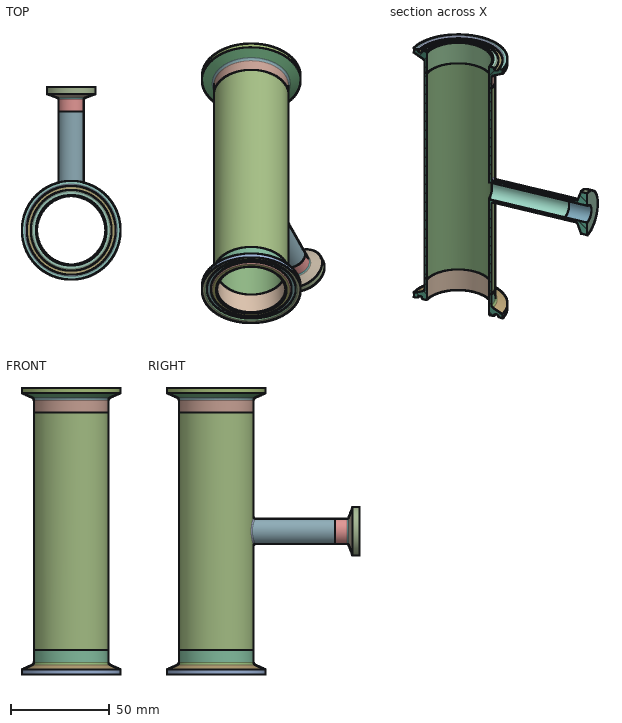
import cadquery as cq

overall_height = 146.0
run_diameter = 38.1
run_bore = 34.7
wall = (run_diameter - run_bore) / 2
branch_diameter = 13.0
branch_bore = branch_diameter - 2 * wall
branch_reach = 73.0
weld_fillet = 0.7
branch_height = overall_height / 2

ferrule_length = 12.5
run_flange_diameter = 50.4
run_rim_thickness = 2.6
run_cone_end = 5.4
run_neck_fillet = 1.5
branch_flange_diameter = 24.8
branch_rim_thickness = 3.6
branch_cone_end = 5.8
branch_neck_fillet = 0.7
lip_chamfer = 0.6

groove_radius = 21.6
groove_width = 2.0
groove_depth = 1.5
groove_edge_round = 0.9


def make_ferrule(neck_diameter, bore, flange_diameter, rim_thickness, cone_end, neck_fillet):
    """Plain clamp ferrule with its sealing face at Z = 0 and its neck toward +Z."""
    neck_radius = neck_diameter / 2
    flange_radius = flange_diameter / 2
    profile = (
        cq.Workplane("XZ")
        .moveTo(bore / 2, 0)
        .lineTo(flange_radius, 0)
        .lineTo(flange_radius, rim_thickness)
        .lineTo(neck_radius, cone_end)
        .lineTo(neck_radius, ferrule_length)
        .lineTo(bore / 2, ferrule_length)
        .close()
    )
    ferrule = profile.revolve(360, (0, 0, 0), (0, 1, 0))
    neck_corner = cq.selectors.BoxSelector(
        (-flange_radius, -flange_radius, rim_thickness + neck_fillet / 2),
        (flange_radius, flange_radius, ferrule_length - neck_fillet / 2),
        boundingbox=True,
    )
    return ferrule.edges("%CIRCLE").edges(neck_corner).fillet(neck_fillet)


def make_gasket_groove():
    """Ring that cuts a round-bottomed groove with rounded edges into the face at Z = 0."""
    inner = groove_radius - groove_width / 2
    outer = groove_radius + groove_width / 2
    arc_offset = groove_edge_round * (1 - 0.5 ** 0.5)
    return (
        cq.Workplane("XZ")
        .moveTo(inner - groove_edge_round, 0)
        .threePointArc((inner - arc_offset, arc_offset), (inner, groove_edge_round))
        .threePointArc((groove_radius, groove_depth), (outer, groove_edge_round))
        .threePointArc((outer + arc_offset, arc_offset), (outer + groove_edge_round, 0))
        .close()
        .revolve(360, (0, 0, 0), (0, 1, 0))
    )


def make_run_ferrule():
    ferrule = make_ferrule(
        run_diameter, run_bore, run_flange_diameter,
        run_rim_thickness, run_cone_end, run_neck_fillet,
    )
    bore_edge = cq.selectors.RadiusNthSelector(0)
    ferrule = ferrule.faces("<Z").edges(bore_edge).chamfer(lip_chamfer)
    return ferrule.cut(make_gasket_groove())


def make_tee_tube():
    run_length = overall_height - 2 * ferrule_length
    branch_length = branch_reach - ferrule_length
    run = cq.Workplane("XY", origin=(0, 0, ferrule_length)).circle(run_diameter / 2).extrude(run_length)
    branch_plane = cq.Workplane("XZ", origin=(0, 0, branch_height))
    branch = branch_plane.circle(branch_diameter / 2).extrude(-branch_length)
    branch_hole = branch_plane.circle(branch_bore / 2).extrude(-branch_length)
    run_hole = cq.Workplane("XY").circle(run_bore / 2).extrude(overall_height)
    outside = run.union(branch)
    weld_zone = cq.selectors.BoxSelector(
        (-branch_diameter, 0, branch_height - branch_diameter),
        (branch_diameter, run_diameter / 2 + wall, branch_height + branch_diameter),
        boundingbox=True,
    )
    outside = outside.edges(weld_zone).fillet(weld_fillet)
    return outside.cut(run_hole).cut(branch_hole)


tee_tube = make_tee_tube()

run_ferrules = []
for is_top in (False, True):
    run_ferrule = make_run_ferrule()
    if is_top:
        run_ferrule = run_ferrule.mirror("XY", (0, 0, overall_height / 2))
    run_ferrules.append(run_ferrule.val())

branch_ferrule = make_ferrule(
    branch_diameter, branch_bore, branch_flange_diameter,
    branch_rim_thickness, branch_cone_end, branch_neck_fillet,
)
branch_ferrule = branch_ferrule.rotate((0, 0, 0), (1, 0, 0), 90)
branch_ferrule = branch_ferrule.translate((0, branch_reach, branch_height))

result = cq.Compound.makeCompound([tee_tube.val(), *run_ferrules, branch_ferrule.val()])